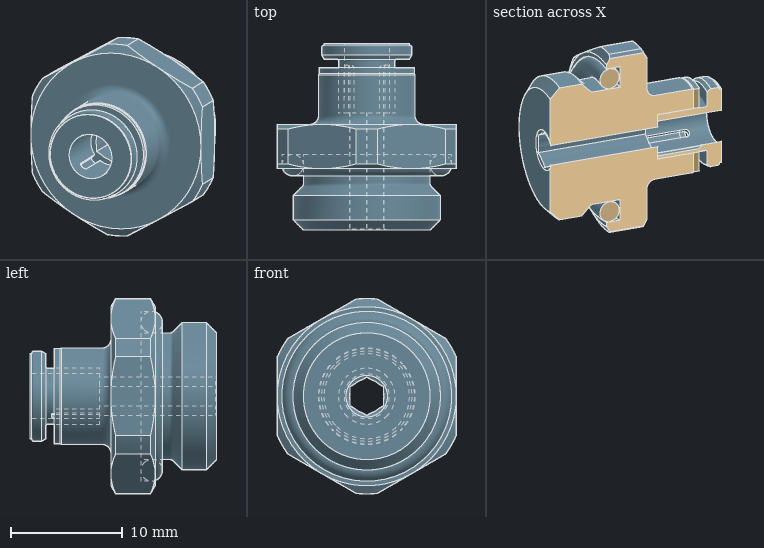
import cadquery as cq
import math


THREAD_CHAMFER = 0.93
THREAD_BACK_Y = 3.1
HEX_FRONT_Y = 5.5
HEX_LENGTH = 3.97
COLLAR_FRONT_Y = 14.01
COLLAR_LENGTH = 0.52
FLANGE_FRONT_Y = 15.27
FLANGE_BACK_Y = 16.53
SLEEVE_BACK_Y = 16.7
HEX_BACK_Y = HEX_FRONT_Y + HEX_LENGTH
COLLAR_BACK_Y = COLLAR_FRONT_Y + COLLAR_LENGTH

THREAD_RADIUS = 6.6
UNDERCUT_RADIUS = THREAD_RADIUS - THREAD_CHAMFER
UNDERCUT_FILLET = 0.38
THREAD_CHAMFER_ANGLE = math.radians(45)
HEX_FLATS = 16.0
HEX_CORNER_RADIUS = 8.75
HEX_BEVEL_ANGLE = 30
NECK_RADIUS = 4.32
NECK_FILLET = 0.79
NECK_CHAMFER_RADIAL = 0.05
NECK_CHAMFER_LENGTH = 0.15

KEY_FLATS = 2.95
KEY_BORE_RADIUS = 1.52
KEY_MOUTH_RADIUS = 1.85
KEY_MOUTH_ANGLE = 20
KEY_MOUTH_DEPTH = (KEY_MOUTH_RADIUS - KEY_FLATS / 2) * math.tan(math.radians(KEY_MOUTH_ANGLE))
SOCKET_FLOOR_Y = 10.5

SEAL_SECTION_RADIUS = 0.96
SEAL_PROTRUSION = 0.65
SEAL_CENTRE_RADIUS = UNDERCUT_RADIUS + SEAL_SECTION_RADIUS
SEAL_CENTRE_Y = HEX_FRONT_Y - SEAL_PROTRUSION + SEAL_SECTION_RADIUS

COLLAR_RADIUS = NECK_RADIUS - NECK_CHAMFER_RADIAL

SLEEVE_RADIUS = 2.52
SLEEVE_BORE_RADIUS = 2.01
SLEEVE_FILLET = 0.15
FLANGE_RADIUS = 4.04
FLANGE_CHAMFER_RADIAL = 0.23
FLANGE_CHAMFER_LENGTH = 0.37
FLANGE_FILLET = 0.2
LAND_RADIUS = 3.81
SLOT_WIDTH = 0.7
SLOT_PROTRUSION = 0.23
SLOT_ANGLES = (225, 315)
SLOT_END_Y = COLLAR_BACK_Y + SLOT_PROTRUSION


def turned(profile):
    """Revolve a closed (radius, Y) profile about the Y axis."""
    return profile.close().revolve(360, (0, 0, 0), (0, 1, 0))


def cylinder(radius, start_y, end_y):
    """Solid cylinder on the Y axis."""
    return turned(cq.Workplane("XY").moveTo(0, start_y).lineTo(radius, start_y)
                  .lineTo(radius, end_y).lineTo(0, end_y))


def hexagon_bar(across_flats, start_y, end_y):
    """Hexagonal bar on the Y axis with its corners up and down."""
    corner_diameter = across_flats / math.cos(math.radians(30))
    return (cq.Workplane("XZ", origin=(0, start_y, 0)).transformed(rotate=(0, 0, 90))
            .polygon(6, corner_diameter).extrude(start_y - end_y))


def housing_hexagon():
    """Spanner hexagon with turned-down corners and a bevel at both ends."""
    face_radius = HEX_FLATS / 2
    bevel = (HEX_CORNER_RADIUS - face_radius) * math.tan(math.radians(HEX_BEVEL_ANGLE))
    envelope = turned(
        cq.Workplane("XY")
        .moveTo(0, HEX_FRONT_Y)
        .lineTo(face_radius, HEX_FRONT_Y)
        .lineTo(HEX_CORNER_RADIUS, HEX_FRONT_Y + bevel)
        .lineTo(HEX_CORNER_RADIUS, HEX_BACK_Y - bevel)
        .lineTo(face_radius, HEX_BACK_Y)
        .lineTo(0, HEX_BACK_Y)
    )
    return hexagon_bar(HEX_FLATS, HEX_FRONT_Y, HEX_BACK_Y).intersect(envelope)


def housing_thread():
    """Thread envelope, chamfered at both ends, and the undercut up to the hexagon."""
    corner_y = THREAD_BACK_Y + THREAD_CHAMFER
    half_turn = THREAD_CHAMFER_ANGLE / 2
    tangent = UNDERCUT_FILLET * math.tan(half_turn)
    diagonal = tangent * math.sin(THREAD_CHAMFER_ANGLE)
    fillet_middle = (
        UNDERCUT_RADIUS + UNDERCUT_FILLET * (1 - math.cos(half_turn)),
        corner_y + tangent - UNDERCUT_FILLET * math.sin(half_turn),
    )
    return turned(
        cq.Workplane("XY")
        .lineTo(UNDERCUT_RADIUS, 0)
        .lineTo(THREAD_RADIUS, THREAD_CHAMFER)
        .lineTo(THREAD_RADIUS, THREAD_BACK_Y)
        .lineTo(UNDERCUT_RADIUS + diagonal, corner_y - diagonal)
        .threePointArc(fillet_middle, (UNDERCUT_RADIUS, corner_y + tangent))
        .lineTo(UNDERCUT_RADIUS, HEX_BACK_Y)
        .lineTo(0, HEX_BACK_Y)
    )


def housing_neck():
    """Round neck with a fillet at the hexagon and a slim chamfer at the collar."""
    return turned(
        cq.Workplane("XY")
        .moveTo(0, HEX_BACK_Y)
        .lineTo(NECK_RADIUS + NECK_FILLET, HEX_BACK_Y)
        .radiusArc((NECK_RADIUS, HEX_BACK_Y + NECK_FILLET), NECK_FILLET)
        .lineTo(NECK_RADIUS, COLLAR_FRONT_Y - NECK_CHAMFER_LENGTH)
        .lineTo(COLLAR_RADIUS, COLLAR_FRONT_Y)
        .lineTo(0, COLLAR_FRONT_Y)
    )


def key_passage():
    """Hexagonal key socket with a round bore, a countersunk mouth and a wider socket behind."""
    mouth = turned(cq.Workplane("XY").lineTo(KEY_MOUTH_RADIUS, 0)
                   .lineTo(KEY_FLATS / 2, KEY_MOUTH_DEPTH).lineTo(0, KEY_MOUTH_DEPTH))
    return (hexagon_bar(KEY_FLATS, 0, SOCKET_FLOOR_Y)
            .union(cylinder(KEY_BORE_RADIUS, 0, SOCKET_FLOOR_Y))
            .union(mouth)
            .union(cylinder(SLEEVE_RADIUS, SOCKET_FLOOR_Y, COLLAR_FRONT_Y)))


def seal_recess():
    """Annular recess in the front of the hexagon that seats the sealing ring."""
    outer_radius = SEAL_CENTRE_RADIUS + SEAL_SECTION_RADIUS
    floor_y = SEAL_CENTRE_Y + SEAL_SECTION_RADIUS
    return (cylinder(outer_radius, HEX_FRONT_Y, floor_y)
            .cut(cylinder(UNDERCUT_RADIUS, HEX_FRONT_Y, floor_y)))


def make_housing():
    solid = housing_thread().union(housing_hexagon()).union(housing_neck())
    return solid.cut(seal_recess()).cut(key_passage())


def make_seal():
    """Round-section sealing ring around the undercut."""
    return (cq.Workplane("XY").center(SEAL_CENTRE_RADIUS, SEAL_CENTRE_Y).circle(SEAL_SECTION_RADIUS)
            .revolve(360, (-SEAL_CENTRE_RADIUS, 0, 0), (-SEAL_CENTRE_RADIUS, 1, 0)))


def make_collar():
    """Flat ring on the end of the neck, around the release sleeve."""
    return (cylinder(COLLAR_RADIUS, COLLAR_FRONT_Y, COLLAR_BACK_Y)
            .cut(cylinder(SLEEVE_RADIUS, COLLAR_FRONT_Y, COLLAR_BACK_Y)))


def sleeve_slot(angle):
    """Round-ended slot through one side of the sleeve wall, open at its inner end."""
    arc_centre_y = SLOT_END_Y - SLOT_WIDTH / 2
    return (cq.Workplane("XY")
            .moveTo(-SLOT_WIDTH / 2, SOCKET_FLOOR_Y)
            .lineTo(SLOT_WIDTH / 2, SOCKET_FLOOR_Y)
            .lineTo(SLOT_WIDTH / 2, arc_centre_y)
            .threePointArc((0, SLOT_END_Y), (-SLOT_WIDTH / 2, arc_centre_y))
            .close().extrude(FLANGE_RADIUS)
            .rotate((0, 0, 0), (0, 1, 0), 90 - angle))


def make_sleeve():
    """Release sleeve: slotted tube with a push flange and a low raised land at the back."""
    sleeve = turned(
        cq.Workplane("XY")
        .moveTo(SLEEVE_BORE_RADIUS, SOCKET_FLOOR_Y)
        .lineTo(SLEEVE_RADIUS, SOCKET_FLOOR_Y)
        .lineTo(SLEEVE_RADIUS, FLANGE_FRONT_Y - SLEEVE_FILLET)
        .radiusArc((SLEEVE_RADIUS + SLEEVE_FILLET, FLANGE_FRONT_Y), SLEEVE_FILLET)
        .lineTo(FLANGE_RADIUS - FLANGE_CHAMFER_RADIAL, FLANGE_FRONT_Y)
        .lineTo(FLANGE_RADIUS, FLANGE_FRONT_Y + FLANGE_CHAMFER_LENGTH)
        .lineTo(FLANGE_RADIUS, FLANGE_BACK_Y - FLANGE_FILLET)
        .radiusArc((FLANGE_RADIUS - FLANGE_FILLET, FLANGE_BACK_Y), -FLANGE_FILLET)
        .lineTo(LAND_RADIUS, FLANGE_BACK_Y)
        .lineTo(LAND_RADIUS, SLEEVE_BACK_Y)
        .lineTo(SLEEVE_BORE_RADIUS, SLEEVE_BACK_Y)
    )
    for angle in SLOT_ANGLES:
        sleeve = sleeve.cut(sleeve_slot(angle))
    return sleeve


housing = make_housing()
seal = make_seal()
collar = make_collar()
sleeve = make_sleeve()

result = cq.Compound.makeCompound([housing.val(), seal.val(), collar.val(), sleeve.val()])